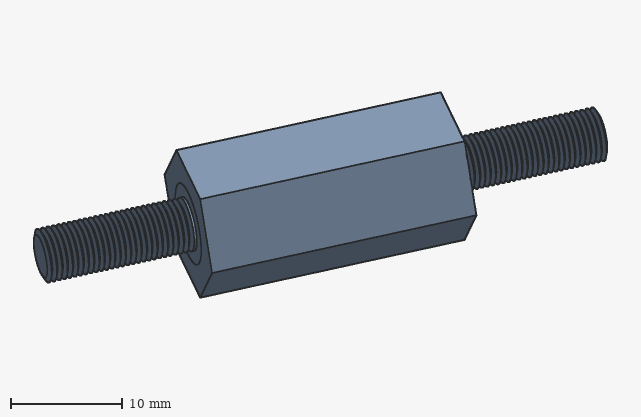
import cadquery as cq
import math


total_length = 53.0
stud_length = 14.0
housing_length = total_length - 2 * stud_length
half_housing = housing_length / 2

across_flats = 12.0
across_corners = across_flats / math.cos(math.radians(30))

head_diameter = 7.5
head_depth = 5.85
thread_diameter = 5.0
root_diameter = 4.0
thread_count = 28
thread_pitch = stud_length / thread_count


def insert_profile():
    """Half section of the insert: X is the radius, Y is the axis, with the stud towards +Y."""
    head_radius = head_diameter / 2
    root_radius = root_diameter / 2
    crest_radius = thread_diameter / 2

    outline = [
        (0, half_housing - head_depth),
        (head_radius, half_housing - head_depth),
        (head_radius, half_housing),
        (crest_radius, half_housing),
    ]
    for turn in range(thread_count):
        ridge_start = half_housing + turn * thread_pitch
        outline.append((crest_radius, ridge_start + thread_pitch / 2))
        outline.append((root_radius, ridge_start + thread_pitch))
    outline.append((0, half_housing + stud_length))
    return cq.Workplane("XY").polyline(outline).close()


def make_insert(end):
    """One insert with its stud pointing towards end * Y; the thread is a row of V-shaped rings."""
    insert = insert_profile().revolve(360, (0, 0, 0), (0, 1, 0))
    if end < 0:
        insert = insert.rotate((0, 0, 0), (0, 0, 1), 180)
    return insert


def make_housing():
    """Hexagonal bar with a blind round socket for the insert head in each end."""
    housing = cq.Workplane("XZ").polygon(6, across_corners).extrude(half_housing, both=True)
    for end_face in ("<Y", ">Y"):
        end_plane = housing.faces(end_face).workplane(centerOption="CenterOfMass")
        housing = end_plane.hole(head_diameter, head_depth)
    return housing


housing = make_housing()
inserts = [make_insert(end) for end in (-1, 1)]

result = cq.Compound.makeCompound([housing.val(), *[insert.val() for insert in inserts]])